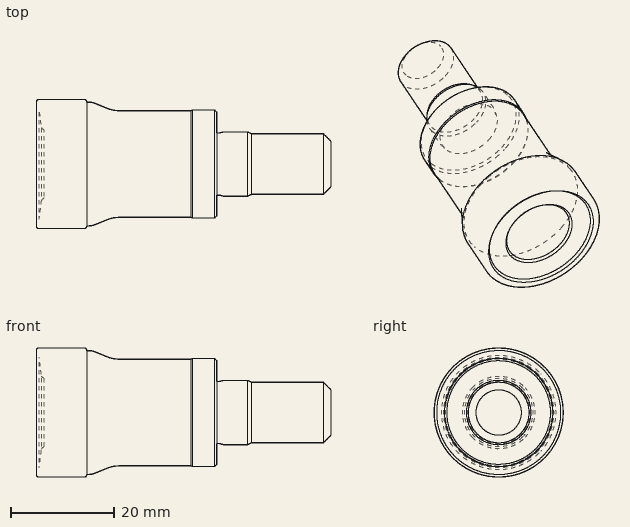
import cadquery as cq
import math


CAP_LENGTH = 9.75
CAP_RADIUS = 25.0 / 2
CAP_EDGE = 0.45
DISH_RIM_RADIUS = 11.05
DISH_RADIUS = 10.65
DISH_START = 0.5
FLOOR_RIM_RADIUS = 7.0
FLOOR_RIM_DEPTH = 0.95
FLOOR_RADIUS = 6.6
FLOOR_DEPTH = 1.4

FLARE_RADIUS = 24.0 / 2
BARREL_RADIUS = 20.7 / 2
FLARE_START = 10.2
FLARE_ANGLE = math.radians(22)
SHOULDER_ARC = 2.75
THROAT_ARC = 5.9

FLANGE_RADIUS = 21.0 / 2
FLANGE_START = 29.9
FLANGE_LEAD = 0.3
FLANGE_END = 34.9
FLANGE_CHAMFER = 0.45

NECK_RADIUS = 6.05
NECK_END = 35.45
COLLAR_RADIUS = 12.5 / 2
COLLAR_START = 36.2
COLLAR_END = 40.85
ROD_RADIUS = 11.75 / 2
ROD_START = 41.6
ROD_END = 57.0
ROD_CHAMFER = 1.5


def turn(profile):
    """Revolve a closed XY half profile about the X axis."""
    return profile.close().revolve(360, (0, 0, 0), (1, 0, 0))


def make_cap():
    """Round cap with a stepped conical dish in its front face."""
    diagonal = CAP_EDGE * (1 - math.sqrt(0.5))
    edge_radius = CAP_RADIUS - CAP_EDGE
    profile = (
        cq.Workplane("XY")
        .moveTo(FLOOR_DEPTH, 0)
        .lineTo(FLOOR_DEPTH, FLOOR_RADIUS)
        .lineTo(FLOOR_RIM_DEPTH, FLOOR_RIM_RADIUS)
        .lineTo(DISH_START, DISH_RADIUS)
        .lineTo(0, DISH_RIM_RADIUS)
        .lineTo(0, edge_radius)
        .threePointArc((diagonal, CAP_RADIUS - diagonal), (CAP_EDGE, CAP_RADIUS))
        .lineTo(CAP_LENGTH - CAP_EDGE, CAP_RADIUS)
        .threePointArc((CAP_LENGTH - diagonal, CAP_RADIUS - diagonal), (CAP_LENGTH, edge_radius))
        .lineTo(CAP_LENGTH, 0)
    )
    return turn(profile)


def shoulder_point(angle):
    """Point on the convex arc where its tangent has turned by the given angle."""
    return (FLARE_START + SHOULDER_ARC * math.sin(angle),
            FLARE_RADIUS - SHOULDER_ARC * (1 - math.cos(angle)))


def throat_point(angle, throat_end):
    """Point on the concave arc where its tangent slopes by the given angle."""
    return (throat_end - THROAT_ARC * math.sin(angle),
            BARREL_RADIUS + THROAT_ARC * (1 - math.cos(angle)))


def make_spindle():
    """Flared barrel with a rear flange and a collared rod."""
    arc_drop = (SHOULDER_ARC + THROAT_ARC) * (1 - math.cos(FLARE_ANGLE))
    flank_length = (FLARE_RADIUS - BARREL_RADIUS - arc_drop) / math.tan(FLARE_ANGLE)
    arc_length = (SHOULDER_ARC + THROAT_ARC) * math.sin(FLARE_ANGLE)
    throat_end = FLARE_START + arc_length + flank_length
    half_angle = FLARE_ANGLE / 2
    profile = (
        cq.Workplane("XY")
        .moveTo(CAP_LENGTH, 0)
        .lineTo(CAP_LENGTH, FLARE_RADIUS)
        .lineTo(FLARE_START, FLARE_RADIUS)
        .threePointArc(shoulder_point(half_angle), shoulder_point(FLARE_ANGLE))
        .lineTo(*throat_point(FLARE_ANGLE, throat_end))
        .threePointArc(throat_point(half_angle, throat_end), (throat_end, BARREL_RADIUS))
        .lineTo(FLANGE_START, BARREL_RADIUS)
        .lineTo(FLANGE_START + FLANGE_LEAD, FLANGE_RADIUS)
        .lineTo(FLANGE_END - FLANGE_CHAMFER, FLANGE_RADIUS)
        .lineTo(FLANGE_END, FLANGE_RADIUS - FLANGE_CHAMFER)
        .lineTo(FLANGE_END, NECK_RADIUS)
        .lineTo(NECK_END, NECK_RADIUS)
        .lineTo(COLLAR_START, COLLAR_RADIUS)
        .lineTo(COLLAR_END, COLLAR_RADIUS)
        .lineTo(ROD_START, ROD_RADIUS)
        .lineTo(ROD_END - ROD_CHAMFER, ROD_RADIUS)
        .lineTo(ROD_END, ROD_RADIUS - ROD_CHAMFER)
        .lineTo(ROD_END, 0)
    )
    return turn(profile)


cap = make_cap()
spindle = make_spindle()
result = cq.Compound.makeCompound([cap.val(), spindle.val()])